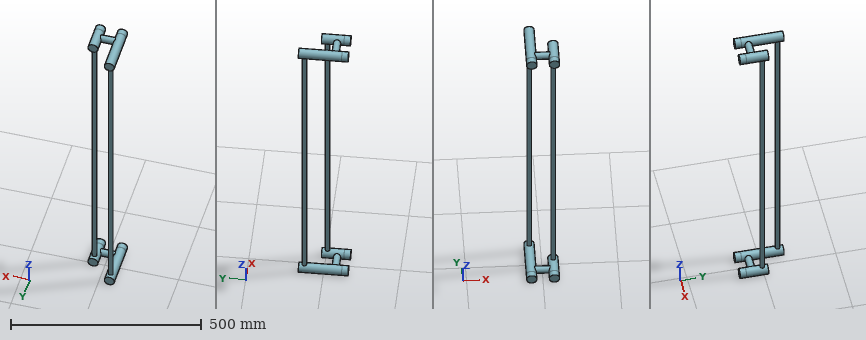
import cadquery as cq

height = 827.0
post_diameter = 27.0
post_pitch = 59.5

long_post_length = 131.0
rail_offset = 54.5
short_post_length = long_post_length - rail_offset
cap_length = 16.5

rail_diameter = 12.0
rail_setback = 15.0
tie_diameter = 20.0
tie_setback = 35.0

post_x = post_pitch / 2
post_z = (height - post_diameter) / 2
sides = [(-post_x, long_post_length), (post_x, short_post_length)]
levels = [-post_z, post_z]


def rod(diameter, length, start, direction):
    """Solid round bar from a start point along a direction."""
    return cq.Workplane(cq.Solid.makeCylinder(diameter / 2, length, cq.Vector(*start), cq.Vector(*direction)))


def post(x, z, length):
    """Post body with a flush front cap; the joint between them stays visible."""
    cap = rod(post_diameter, cap_length, (x, 0, z), (0, 1, 0))
    body = rod(post_diameter, length - cap_length, (x, cap_length, z), (0, 1, 0))
    return cap.union(body, clean=False)


def tie(z):
    """Cross bar joining the axes of the two posts at one level."""
    return rod(tie_diameter, post_pitch, (-post_x, tie_setback, z), (1, 0, 0))


def rail(x, post_length):
    """Upright bar joining the axes of the bottom and top posts on one side."""
    return rod(rail_diameter, 2 * post_z, (x, post_length - rail_setback, -post_z), (0, 0, 1))


result = cq.Workplane()
for level in levels:
    result = result.add(tie(level))
    for side_x, side_length in sides:
        result = result.add(post(side_x, level, side_length))
for side_x, side_length in sides:
    result = result.add(rail(side_x, side_length))
result = result.combine(clean=False)